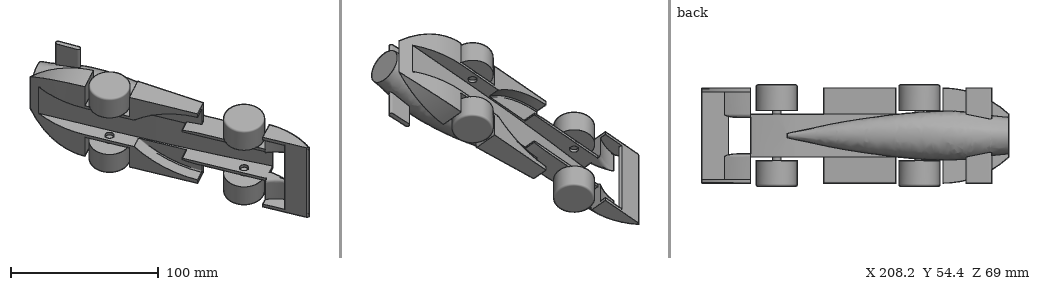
import cadquery as cq


half_width = 32.3
length = 208.19

wheel_diameter = 28.0
wheel_inner_z = 17.0
wheel_outer_z = 34.5
wheel_edge_radius = 1.5
stub_diameter = 6.0
wheel_stations = (60.6, 157.3)
axle_height = wheel_diameter / 2

floor_y = 9.0
deck_y = 26.8
wall_outer_z = 14.6
wall_inner_z = 12.25
tail_x = 175.0
tail_top_y = 22.6
tail_bend_x = 145.0
tail_middle = (161.5, 25.5)

nose_end_x = 44.7
nose_tip_y = 23.8
nose_end_top_y = 26.2
nose_side_middle = (20.0, 27.35)

roof_y = 18.7
roof_flat_end_x = 67.2
roof_tail_y = 22.0
roof_middle = (121.0, 19.6)

pod_start_x = 76.6
pod_end_x = 125.6
pod_front_y = 26.8
pod_rear_y = 21.4
pod_edge_radius = 1.0

pocket_start_x = 80.0
pocket_ceiling_y = 17.8
pocket_end_z = 29.0
pocket_side_middle = (102.5, 25.0)
pocket_corner_radius = 0.8
wedge_start_x = 114.4
wedge_start_z = 13.6
wedge_middle = (119.0, 14.2)

fuselage_stations = (
    (0.0, 37.8, 12.4),
    (22.0, 37.85, 15.3),
    (42.0, 37.7, 16.65),
    (64.0, 36.7, 15.7),
    (86.0, 35.0, 13.3),
    (109.0, 32.55, 9.9),
    (124.0, 30.4, 7.1),
    (139.0, 28.2, 3.9),
    (150.0, 26.5, 1.2),
)

front_wing_start_x = 11.4
front_wing_chord = 17.8
front_wing_thickness = 3.2
front_wing_y = 43.95
front_wing_tilt = -2.0

wing_bottom_y = 1.75
plate_front_y = 15.6
plate_middle = (194.5, 11.3)
tip_y = 2.9
plate_inner_z = 29.7
plate_edge_radius = 0.6
trailing_bevel_x = 206.6
blade_front_x = 189.9
blade_bottom_front_x = 191.0
blade_top_y = 3.8

shell_top_y = 17.4
shell_bottom_y = 6.5
shell_end_x = 192.8
shell_end_y = 11.6
shell_top_middle = (184.5, 15.0)
shell_bottom_middle = (182.5, 9.9)
shell_corner_radius = 2.4


def slab(profile, z_start, z_end):
    """Extrude a closed XY profile between two Z levels."""
    return profile.extrude(z_end - z_start).translate((0, 0, z_start))


def both_sides(part):
    """Join a part with its mirror image on the other side of the car."""
    return part.union(part.mirror("XY"))


def chassis_profile():
    return (
        cq.Workplane("XY")
        .moveTo(0, nose_tip_y)
        .threePointArc((nose_end_x, nose_end_top_y), (pod_start_x, deck_y))
        .lineTo(tail_bend_x, deck_y)
        .threePointArc(tail_middle, (tail_x, tail_top_y))
        .lineTo(tail_x, floor_y)
        .lineTo(nose_end_x, floor_y)
        .tangentArcPoint((0, nose_tip_y), relative=False)
        .close()
    )


def chassis():
    """Narrow tub that widens into a rounded nose."""
    half_plan = (
        cq.Workplane("XZ")
        .lineTo(0, wall_outer_z)
        .threePointArc(nose_side_middle, (nose_end_x, half_width))
        .lineTo(nose_end_x, wall_outer_z)
        .lineTo(tail_x, wall_outer_z)
        .lineTo(tail_x, 0)
        .close()
        .extrude(-2 * deck_y)
    )
    plan = both_sides(half_plan)
    return slab(chassis_profile(), -half_width, half_width).intersect(plan)


def fuselage():
    """Round cigar lofted through the stations, drooping and tapering into the deck."""
    first_x = fuselage_stations[0][0]
    body = cq.Workplane("YZ", origin=(first_x, 0, 0))
    previous_x = first_x
    for x, centre_y, radius in fuselage_stations:
        body = body.workplane(offset=x - previous_x)
        body = body.moveTo(centre_y, 0).circle(radius)
        previous_x = x
    return body.loft()


def front_wing():
    """Straight bar with rounded edges that crosses the fuselage at a slight tilt."""
    middle_x = front_wing_start_x + front_wing_chord / 2
    return (
        cq.Workplane("XY")
        .transformed(offset=(middle_x, front_wing_y, -half_width), rotate=(0, 0, front_wing_tilt))
        .slot2D(front_wing_chord, front_wing_thickness)
        .extrude(2 * half_width)
    )


def pod():
    """Side pod with a top that slopes down to the rear and a rounded outer edge."""
    profile = (
        cq.Workplane("XY")
        .moveTo(pod_start_x, floor_y)
        .lineTo(pod_end_x, floor_y)
        .lineTo(pod_end_x, pod_rear_y)
        .lineTo(pod_start_x, pod_front_y)
        .close()
    )
    block = slab(profile, 0, half_width)
    outer_top_edge = block.faces(">Z").edges(">Y")
    return outer_top_edge.fillet(pod_edge_radius)


def pod_pocket():
    """Pocket with a curved outer wall, open at the bottom, at the rear and into the channel."""
    cutter = (
        cq.Workplane("XZ")
        .moveTo(pocket_start_x, 0)
        .lineTo(pocket_start_x, wall_inner_z)
        .threePointArc(pocket_side_middle, (pod_end_x, pocket_end_z))
        .lineTo(pod_end_x, wall_outer_z)
        .threePointArc(wedge_middle, (wedge_start_x, wedge_start_z))
        .lineTo(wedge_start_x, 0)
        .close()
        .extrude(-pocket_ceiling_y)
    )
    curved_top_edge = cutter.faces(">Y").edges(">Z")
    return curved_top_edge.fillet(pocket_corner_radius)


def channel():
    """Channel open at the bottom and the tail; its roof is flat at first, then rises."""
    profile = (
        cq.Workplane("XY")
        .moveTo(0, 0)
        .lineTo(0, roof_y)
        .lineTo(roof_flat_end_x, roof_y)
        .threePointArc(roof_middle, (tail_x, roof_tail_y))
        .lineTo(tail_x, 0)
        .close()
    )
    return slab(profile, -wall_inner_z, wall_inner_z)


def tail_shell():
    """Curved fairing that rises from the tub to the rear wing plate, ending in a sharp edge."""
    above_underside = (
        cq.Workplane("XY")
        .moveTo(tail_x, deck_y)
        .lineTo(tail_x, shell_bottom_y)
        .threePointArc(shell_bottom_middle, (shell_end_x, shell_end_y))
        .lineTo(shell_end_x, deck_y)
        .close()
    )
    below_top = (
        cq.Workplane("XY")
        .moveTo(tail_x, 0)
        .lineTo(tail_x, shell_top_y)
        .threePointArc(shell_top_middle, (shell_end_x, shell_end_y))
        .lineTo(shell_end_x, 0)
        .close()
    )
    upper_block = slab(above_underside, wall_inner_z, plate_inner_z)
    lower_block = slab(below_top, wall_inner_z, plate_inner_z)
    lower_edge_rounded = upper_block.faces("<Z").edges("<Y").fillet(shell_corner_radius)
    upper_edge_rounded = lower_block.faces("<Z").edges(">Y").fillet(shell_corner_radius)
    return lower_edge_rounded.intersect(upper_edge_rounded)


def wing_plate():
    """Upright end plate of the rear wing with a curved upper edge."""
    profile = (
        cq.Workplane("XY")
        .moveTo(tail_x, wing_bottom_y)
        .lineTo(tail_x, plate_front_y)
        .threePointArc(plate_middle, (length, tip_y))
        .lineTo(trailing_bevel_x, wing_bottom_y)
        .close()
    )
    plate = slab(profile, plate_inner_z, half_width)
    outer_top_edge = plate.faces(">Z").edges(">Y")
    return outer_top_edge.fillet(plate_edge_radius)


def wing_blade():
    """Thin blade between the two end plates."""
    profile = (
        cq.Workplane("XY")
        .moveTo(blade_bottom_front_x, wing_bottom_y)
        .lineTo(blade_front_x, blade_top_y)
        .lineTo(length, tip_y)
        .lineTo(trailing_bevel_x, wing_bottom_y)
        .close()
    )
    return slab(profile, -plate_inner_z, plate_inner_z)


def wheel(x, side):
    """Wheel with a stub axle that reaches the wall of the tub; side is 1 or -1 along Z."""
    tyre = (
        cq.Workplane("XY", origin=(x, axle_height, wheel_inner_z))
        .circle(wheel_diameter / 2)
        .extrude(wheel_outer_z - wheel_inner_z)
        .faces(">Z")
        .edges()
        .fillet(wheel_edge_radius)
    )
    stub = (
        cq.Workplane("XY", origin=(x, axle_height, wall_outer_z))
        .circle(stub_diameter / 2)
        .extrude(wheel_inner_z - wall_outer_z)
    )
    one_wheel = tyre.union(stub)
    return one_wheel if side > 0 else one_wheel.mirror("XY")


def axle_holes():
    """Holes through both walls of the tub, in line with the stub axles."""
    return (
        cq.Workplane("XY", origin=(0, 0, -wall_outer_z))
        .pushPoints([(x, axle_height) for x in wheel_stations])
        .circle(stub_diameter / 2)
        .extrude(2 * wall_outer_z)
    )


car = (
    chassis()
    .union(both_sides(pod()))
    .cut(both_sides(pod_pocket()))
    .cut(channel())
    .union(fuselage())
    .union(front_wing())
    .union(both_sides(tail_shell()))
    .union(both_sides(wing_plate()))
    .union(wing_blade())
    .cut(axle_holes())
)

wheels = [wheel(x, side) for x in wheel_stations for side in (1, -1)]

result = cq.Compound.makeCompound([*car.vals(), *[one.val() for one in wheels]])